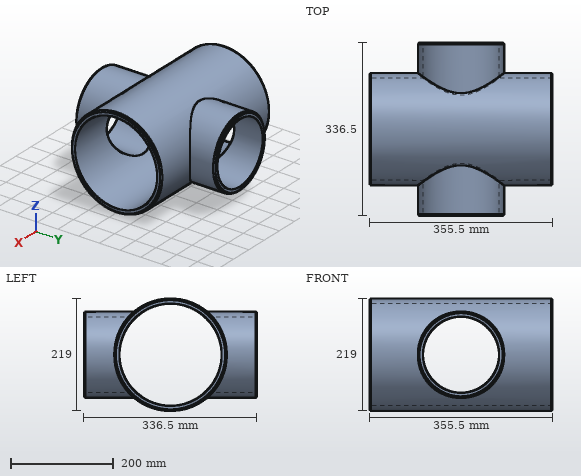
import cadquery as cq

run_length = 355.5
run_outer_diameter = 219.0
run_wall = 10.3

branch_length = 336.5
branch_outer_diameter = 168.2
branch_wall = 10.3

bevel_length = 3.2
bevel_depth = 3.2


def rod(plane, diameter, length):
    """Solid cylinder centred on the origin, along the normal of the plane."""
    return cq.Workplane(plane).circle(diameter / 2).extrude(length / 2, both=True)


def bevelled_rod(plane, diameter, length):
    """Cylinder with a bevel around both end rims."""
    return rod(plane, diameter, length).edges("%CIRCLE").chamfer(bevel_length, bevel_depth)


outside = bevelled_rod("YZ", run_outer_diameter, run_length).union(
    bevelled_rod("XZ", branch_outer_diameter, branch_length)
)

run_bore = rod("YZ", run_outer_diameter - 2 * run_wall, run_length)
branch_bore = rod("XZ", branch_outer_diameter - 2 * branch_wall, branch_length)

result = outside.cut(run_bore).cut(branch_bore)